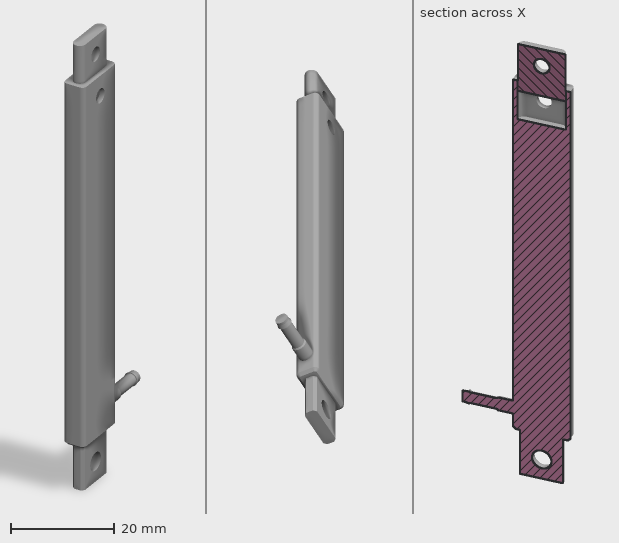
import cadquery as cq

overall_height = 99.0
housing_bottom = 10.1
housing_top = 90.6

housing_width = 4.9
housing_depth = 12.1
housing_corner_radius = 1.0
bottom_chamfer = 0.6

tang_thickness = 2.7
tang_depth = 9.1
tang_edge_chamfer = 0.6
tang_hole_diameter = 4.0
tang_hole_height = 4.5

slider_thickness = 2.7
slider_depth = 10.0
slider_overlap = 2.5
slot_length = 8.9
cross_hole_diameter = 3.2
housing_hole_height = 86.1
slider_hole_height = 95.0

fitting_height = 15.0
collar_diameter = 3.1
collar_length = 3.1
collar_cone_length = 0.3
tube_diameter = 2.6
barb_diameter = 3.0
barb_start = 9.1
barb_end = 10.0
fitting_length = 10.6

slider_bottom = housing_top - slider_overlap
slot_bottom = housing_top - slot_length


def hole_along_x(diameter, height):
    """Cylinder that cuts a round hole across the full width of the part."""
    return (
        cq.Workplane("YZ")
        .center(0, height)
        .circle(diameter / 2)
        .extrude(housing_width, both=True)
    )


def round_edged_bar(bottom, top):
    """Flat bar with fully rounded long edges, shared by the slider and its slot."""
    return (
        cq.Workplane("XY", origin=(0, 0, bottom))
        .slot2D(slider_depth, slider_thickness, 90)
        .extrude(top - bottom)
    )


def make_tang():
    tang = (
        cq.Workplane("XY")
        .rect(tang_thickness, tang_depth)
        .extrude(housing_bottom)
        .edges("|Z")
        .chamfer(tang_edge_chamfer)
    )
    return tang.cut(hole_along_x(tang_hole_diameter, tang_hole_height))


def make_fitting():
    """Turned hose fitting: half profile of (radius, distance) about the Y axis."""
    collar_radius = collar_diameter / 2
    tube_radius = tube_diameter / 2
    barb_radius = barb_diameter / 2
    profile = [
        (0, 0),
        (collar_radius, 0),
        (collar_radius, collar_length),
        (tube_radius, collar_length + collar_cone_length),
        (tube_radius, barb_start),
        (barb_radius, barb_start),
        (tube_radius, barb_end),
        (tube_radius, fitting_length),
        (0, fitting_length),
    ]
    return (
        cq.Workplane("XY")
        .polyline(profile)
        .close()
        .revolve(360, (0, 0, 0), (0, 1, 0))
        .translate((0, housing_depth / 2, fitting_height))
    )


def make_housing():
    bar = (
        cq.Workplane("XY", origin=(0, 0, housing_bottom))
        .rect(housing_width, housing_depth)
        .extrude(housing_top - housing_bottom)
        .edges("|Z")
        .fillet(housing_corner_radius)
        .faces("<Z")
        .chamfer(bottom_chamfer)
    )
    housing = bar.union(make_tang()).union(make_fitting())
    slot = round_edged_bar(slot_bottom, housing_top)
    return housing.cut(slot).cut(hole_along_x(cross_hole_diameter, housing_hole_height))


def make_slider():
    bar = round_edged_bar(slider_bottom, overall_height)
    return bar.cut(hole_along_x(cross_hole_diameter, slider_hole_height))


housing = make_housing()
slider = make_slider()

result = cq.Compound.makeCompound([housing.val(), slider.val()])